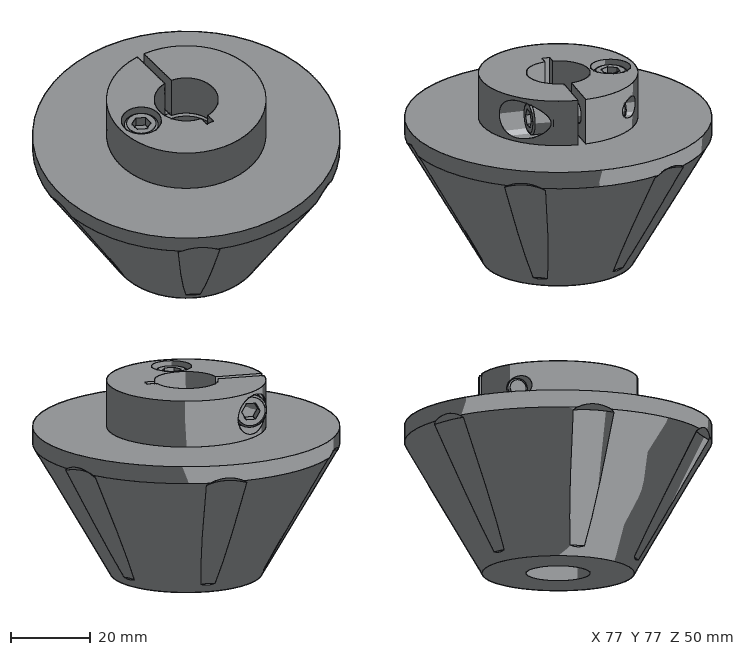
import cadquery as cq
import math

flange_dia = 77.0
total_height = 50.0

collar_height = 11.9
cone_height = total_height - collar_height
flange_height = 4.4
cone_half_angle = 30.0
bore_dia = 16.0
bore_chamfer = 1.0

flute_count = 6
flute_first_angle = 30.0
flute_radius = 11.7
flute_tilt = 27.8
flute_end_angle = 30.0
flute_end_length = 4.6
flute_top_drop = 4.5
flute_floor_radius = 36.65
flute_length = 35.1

head_dia = 8.5
head_height = 5.0
head_chamfer_width = 0.55
head_chamfer_height = 0.5
shank_dia = 5.0
shank_length = 20.0
tip_chamfer = 0.5
socket_flats = 4.15
socket_depth = 2.5
socket_cone_angle = 30.0
socket_corner_radius = socket_flats / 2 / math.cos(math.pi / 6)

collar_dia = 40.0
slot_width = 2.0
slot_end_x = 10.5
counterbore_dia = 10.0
clamp_hole_dia = 5.3
clamp_x = -13.5
clamp_seat_y = 7.0
clamp_z = cone_height + collar_height / 2
mount_y = -13.7
mount_seat_z = cone_height + collar_height / 2


def rod(dia, length, base_z=0.0):
    """Upright cylinder on the Z axis, starting at base_z."""
    return cq.Workplane("XY").workplane(offset=base_z).circle(dia / 2).extrude(length)


def place_as_clamp(shape):
    """Turn +Z to +Y and move the origin to the seat of the clamp screw."""
    return shape.rotate((0, 0, 0), (1, 0, 0), -90).translate((clamp_x, clamp_seat_y, clamp_z))


def place_as_mount(shape):
    """Move the origin to the seat of the mounting screw, still upright."""
    return shape.translate((0, mount_y, mount_seat_z))


def make_flute_cutter():
    """Cylinder with tapered ends, lying along the flute on the +X side."""
    end_radius = flute_radius - flute_end_length * math.tan(math.radians(flute_end_angle))
    cutter = (
        cq.Workplane("XZ")
        .moveTo(-flute_radius, flute_end_length)
        .lineTo(end_radius - flute_radius, flute_end_length)
        .lineTo(0, 0)
        .lineTo(0, -flute_length)
        .lineTo(end_radius - flute_radius, -flute_length - flute_end_length)
        .lineTo(-flute_radius, -flute_length - flute_end_length)
        .close()
        .revolve(360, (-flute_radius, 0, 0), (-flute_radius, 1, 0))
    )
    cutter = cutter.rotate((0, 0, 0), (0, 0, 1), 180)
    cutter = cutter.rotate((0, 0, 0), (0, 1, 0), flute_tilt)
    return cutter.translate((flute_floor_radius, 0, cone_height - flute_top_drop))


def make_grip_cone():
    """Tapered grip with a flange rim, flutes, bore and mounting screw hole."""
    flange_radius = flange_dia / 2
    rim_bottom = cone_height - flange_height
    small_radius = flange_radius - rim_bottom * math.tan(math.radians(cone_half_angle))
    bore_radius = bore_dia / 2
    body = (
        cq.Workplane("XZ")
        .moveTo(bore_radius, 0)
        .lineTo(small_radius, 0)
        .lineTo(flange_radius, rim_bottom)
        .lineTo(flange_radius, cone_height)
        .lineTo(bore_radius + bore_chamfer, cone_height)
        .lineTo(bore_radius, cone_height - bore_chamfer)
        .close()
        .revolve(360, (0, 0, 0), (0, 1, 0))
    )
    cutter = make_flute_cutter()
    for index in range(flute_count):
        angle = flute_first_angle + index * 360 / flute_count
        body = body.cut(cutter.rotate((0, 0, 0), (0, 0, 1), angle))
    return body.cut(place_as_mount(rod(shank_dia, shank_length, -shank_length)))


def make_clamp_collar():
    """Split ring with a clamp screw hole across the slot and a mounting hole."""
    collar = rod(collar_dia, collar_height, cone_height).cut(rod(bore_dia, total_height))
    slot_length = slot_end_x + collar_dia / 2
    slot = (
        cq.Workplane("XY")
        .box(slot_length, slot_width, collar_height, centered=(False, True, False))
        .translate((-collar_dia / 2, 0, cone_height))
    )
    counterbore = rod(counterbore_dia, collar_dia)
    clamp_hole = rod(clamp_hole_dia, 2 * collar_dia, -collar_dia)
    mount_hole = rod(shank_dia, collar_height, -collar_height)
    return (
        collar.cut(slot)
        .cut(place_as_clamp(counterbore))
        .cut(place_as_clamp(clamp_hole))
        .cut(place_as_mount(counterbore))
        .cut(place_as_mount(mount_hole))
    )


def make_socket():
    """Hexagon recess with a conical floor, corners along X, below the head top."""
    cone_drop = socket_corner_radius * math.tan(math.radians(socket_cone_angle))
    pointed = (
        cq.Workplane("XZ")
        .moveTo(0, head_height)
        .lineTo(socket_corner_radius, head_height)
        .lineTo(socket_corner_radius, head_height - socket_depth)
        .lineTo(0, head_height - socket_depth - cone_drop)
        .close()
        .revolve(360, (0, 0, 0), (0, 1, 0))
    )
    hexagon = cq.Workplane("XY").polygon(6, 2 * socket_corner_radius).extrude(head_height)
    return pointed.intersect(hexagon)


def make_screw():
    """Socket head screw, head above Z = 0 and shank below it."""
    head_radius = head_dia / 2
    shank_radius = shank_dia / 2
    screw = (
        cq.Workplane("XZ")
        .moveTo(0, head_height)
        .lineTo(head_radius - head_chamfer_width, head_height)
        .lineTo(head_radius, head_height - head_chamfer_height)
        .lineTo(head_radius, 0)
        .lineTo(shank_radius, 0)
        .lineTo(shank_radius, tip_chamfer - shank_length)
        .lineTo(shank_radius - tip_chamfer, -shank_length)
        .lineTo(0, -shank_length)
        .close()
        .revolve(360, (0, 0, 0), (0, 1, 0))
    )
    return screw.cut(make_socket())


grip_cone = make_grip_cone()
clamp_collar = make_clamp_collar()
screws = [place(make_screw()) for place in (place_as_clamp, place_as_mount)]

result = cq.Compound.makeCompound(
    [grip_cone.val(), clamp_collar.val(), *[screw.val() for screw in screws]]
)